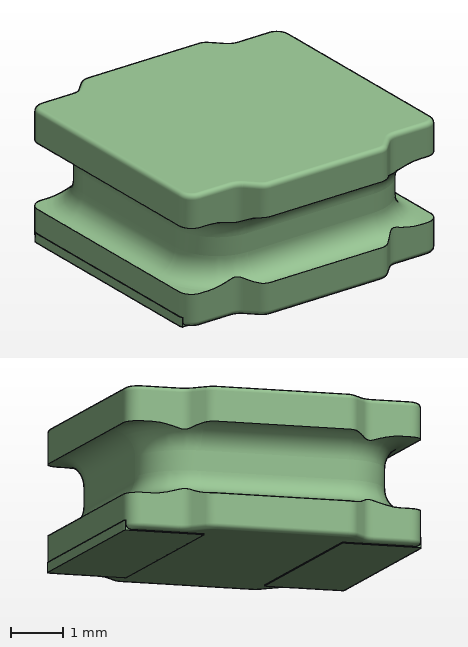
import cadquery as cq

length_x = 6.0
length_y = 6.0
body_height = 2.8
flange_thickness = 0.7
notch_depth = 0.4
notch_slope_middle_y = 1.64
outline_radius = 0.3
rim_radius = 0.1

core_size = 5.0
core_corner_radius = 1.0

terminal_side_thickness = 0.01
terminal_bottom_thickness = 0.02
terminal_length_x = 4.8
terminal_inner_y = 1.4
terminal_height = 0.2

flare_radius = (length_x - core_size) / 2
core_height = body_height - 2 * flange_thickness
body_bottom_z = terminal_bottom_thickness
lower_flange_top_z = body_bottom_z + flange_thickness
upper_flange_bottom_z = lower_flange_top_z + core_height


def outline_prism(bottom_z, height):
    """Upright prism with the flange outline: a square with a sloped notch at each corner."""
    half_x = length_x / 2
    half_y = length_y / 2
    neck_x = half_x - notch_depth
    slope_outer_y = notch_slope_middle_y - notch_depth / 2
    slope_inner_y = notch_slope_middle_y + notch_depth / 2
    right_side = [(half_x, slope_outer_y), (neck_x, slope_inner_y), (neck_x, half_y)]
    upper_half = right_side + [(-x, y) for x, y in reversed(right_side)]
    lower_half = [(-x, -y) for x, y in upper_half]
    return (
        cq.Workplane("XY", origin=(0, 0, bottom_z))
        .polyline(upper_half + lower_half)
        .close()
        .extrude(height)
        .edges("|Z")
        .fillet(outline_radius)
    )


def spool():
    """Core flared into two square plates that reach beyond the flange outline."""
    plate_size = length_x + 2 * notch_depth

    def plate(bottom_z):
        return (
            cq.Workplane("XY", origin=(0, 0, bottom_z))
            .rect(plate_size, plate_size)
            .extrude(flange_thickness)
        )

    core = (
        cq.Workplane("XY", origin=(0, 0, lower_flange_top_z))
        .rect(core_size, core_size)
        .extrude(core_height)
        .edges("|Z")
        .fillet(core_corner_radius)
    )
    core_region = cq.selectors.BoxSelector(
        (-length_x / 2, -length_y / 2, body_bottom_z),
        (length_x / 2, length_y / 2, body_bottom_z + body_height),
        boundingbox=True,
    )
    return (
        plate(body_bottom_z)
        .union(core)
        .union(plate(upper_flange_bottom_z))
        .edges(core_region)
        .edges("not |Z")
        .fillet(flare_radius)
    )


def body():
    """Spool trimmed to the flange outline, with rounded top and bottom rims."""
    envelope = (
        outline_prism(body_bottom_z, body_height)
        .faces("<Z or >Z")
        .edges()
        .fillet(rim_radius)
    )
    return spool().intersect(envelope)


def terminals():
    """Thin strips under the lower flange that wrap up its -Y and +Y walls, following the outline."""
    wrapped_outline = (
        outline_prism(0, terminal_height)
        .faces("<Z")
        .wires()
        .toPending()
        .offset2D(terminal_side_thickness)
        .extrude(terminal_height)
    )
    outer_y = length_y / 2 + terminal_side_thickness
    strip_width = outer_y - terminal_inner_y
    strip_middle_y = (outer_y + terminal_inner_y) / 2
    strips = (
        cq.Workplane("XY")
        .pushPoints([(0, -strip_middle_y), (0, strip_middle_y)])
        .rect(terminal_length_x, strip_width)
        .extrude(terminal_height)
    )
    return wrapped_outline.intersect(strips)


result = body().union(terminals())